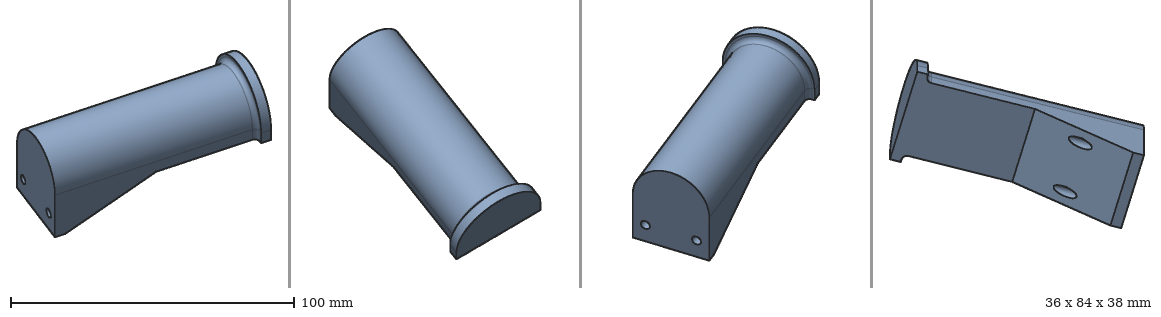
import cadquery as cq

body_radius = 15.0
body_length = 84.0
body_bottom = -5.0

flange_radius = 18.0
flange_thickness = 4.0
fillet_radius = 2.0
flange_front = body_length - flange_thickness

foot_bottom = -20.0
foot_flat_length = 4.0
foot_length = 40.0

hole_diameter = 3.5
hole_spacing = 20.0
hole_height = (foot_bottom + body_bottom) / 2


def make_arch(radius, y_start, length):
    """Half-round top with straight sides down to the body bottom, extruded along +Y."""
    return (
        cq.Workplane("XZ", origin=(0, y_start, 0))
        .moveTo(-radius, body_bottom)
        .lineTo(-radius, 0)
        .threePointArc((0, radius), (radius, 0))
        .lineTo(radius, body_bottom)
        .close()
        .extrude(-length)
    )


def make_flanged_body():
    """Arched body with the flange, filleted where the flange's front face meets the body."""
    body = make_arch(body_radius, 0, body_length)
    flange = make_arch(flange_radius, flange_front, flange_thickness)

    margin = (flange_radius - body_radius) / 2
    reach = body_radius + margin
    corner_edges = cq.selectors.BoxSelector(
        (-reach, flange_front - margin, body_bottom - margin),
        (reach, flange_front + margin, reach),
        boundingbox=True,
    )
    return body.union(flange).edges(corner_edges).fillet(fillet_radius)


def make_foot():
    """Foot with a short flat underneath, sloping up to the body bottom."""
    return (
        cq.Workplane("YZ")
        .moveTo(0, 0)
        .lineTo(0, foot_bottom)
        .lineTo(foot_flat_length, foot_bottom)
        .lineTo(foot_length, body_bottom)
        .lineTo(foot_length, 0)
        .close()
        .extrude(body_radius, both=True)
    )


def make_screw_holes():
    """Two plain holes from the front face out through the sloped face."""
    half_spacing = hole_spacing / 2
    return (
        cq.Workplane("XZ")
        .pushPoints([(-half_spacing, hole_height), (half_spacing, hole_height)])
        .circle(hole_diameter / 2)
        .extrude(-foot_length)
    )


result = make_flanged_body().union(make_foot()).cut(make_screw_holes())